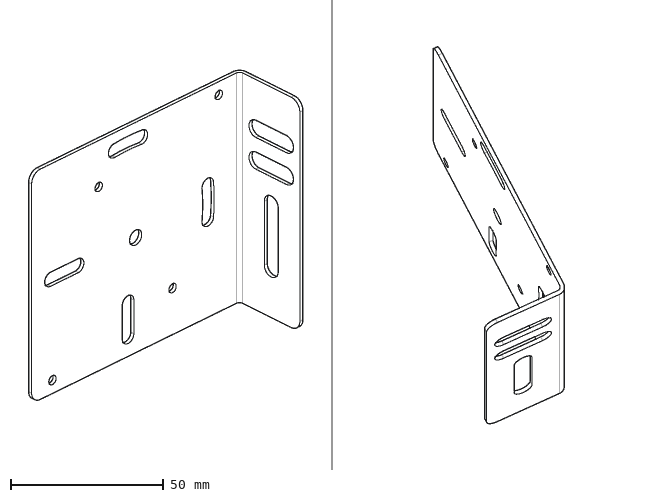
import cadquery as cq
import math

height = 87.0
plate_length = 97.5
flange_width = 29.5
thickness = 1.5
bend_inner_radius = thickness
bend_outer_radius = bend_inner_radius + thickness
corner_radius = 4.0

plate_free_edge_y = -48.1
flange_outer_y = plate_free_edge_y + plate_length
flange_inner_y = flange_outer_y - thickness

pivot_hole_diameter = 5.6
small_hole_diameter = 3.3
outer_hole_offset = 38.4
inner_hole_y = -17.1
inner_hole_z = 25.9

plate_slot_width = 5.3
plate_slot_length = 18.0
horizontal_slot_y = -33.0
vertical_slot_y = -3.5
vertical_slot_z = -29.5
arc_slot_radius = 66.6

flange_slot_width = 6.4
flange_slot_x = 16.2
short_slot_length = 20.7
short_slot_heights = (24.9, 12.9)
long_slot_length = 30.5
long_slot_z = -12.9


def bent_sheet():
    """L-shaped sheet with a constant thickness around the bend."""
    profile = (
        cq.Workplane("XY", origin=(0, 0, -height / 2))
        .moveTo(0, plate_free_edge_y)
        .lineTo(0, flange_outer_y - bend_outer_radius)
        .radiusArc((bend_outer_radius, flange_outer_y), bend_outer_radius)
        .lineTo(flange_width, flange_outer_y)
        .lineTo(flange_width, flange_inner_y)
        .lineTo(bend_outer_radius, flange_inner_y)
        .radiusArc((thickness, flange_outer_y - bend_outer_radius), -bend_inner_radius)
        .lineTo(thickness, plate_free_edge_y)
        .close()
    )
    sheet = profile.extrude(height)
    sheet = sheet.faces("<Y").edges("|X").fillet(corner_radius)
    return sheet.faces(">X").edges("|Y").fillet(corner_radius)


def plate_sketch():
    """Sketch plane on the plate: local axes are Y and Z."""
    return cq.Workplane("YZ")


def flange_sketch():
    """Sketch plane on the flange: local axes are X and Z, extruding toward -Y."""
    return cq.Workplane("XZ", origin=(0, flange_outer_y, 0))


def arc_slot(center_y, center_z, middle_angle):
    """Cutter for a round-ended slot curved about a point on the plate."""
    half_width = plate_slot_width / 2
    half_chord = plate_slot_length / 2 - half_width
    half_angle = math.degrees(math.asin(half_chord / arc_slot_radius))

    def point(radius, angle):
        radians = math.radians(middle_angle + angle)
        return (center_y + radius * math.cos(radians), center_z + radius * math.sin(radians))

    inner = arc_slot_radius - half_width
    outer = arc_slot_radius + half_width
    outline = (
        plate_sketch()
        .moveTo(*point(inner, -half_angle))
        .threePointArc(point(inner, 0), point(inner, half_angle))
        .tangentArcPoint(point(outer, half_angle), relative=False)
        .threePointArc(point(outer, 0), point(outer, -half_angle))
        .tangentArcPoint(point(inner, -half_angle), relative=False)
        .close()
    )
    return outline.extrude(thickness)


def cut_plate(part):
    """Pivot hole, small holes, straight slots and arc slots of the plate."""
    small_holes = [
        (sign * y, sign * z)
        for sign in (1, -1)
        for y, z in ((outer_hole_offset, outer_hole_offset), (inner_hole_y, inner_hole_z))
    ]
    part = part.cut(plate_sketch().circle(pivot_hole_diameter / 2).extrude(thickness))
    part = part.cut(
        plate_sketch().pushPoints(small_holes).circle(small_hole_diameter / 2).extrude(thickness)
    )
    straight_slots = ((horizontal_slot_y, 0, 0), (vertical_slot_y, vertical_slot_z, 90))
    for y, z, slot_angle in straight_slots:
        slot = plate_sketch().center(y, z).slot2D(plate_slot_length, plate_slot_width, slot_angle)
        part = part.cut(slot.extrude(thickness))
        part = part.cut(arc_slot(y, z, slot_angle))
    return part


def cut_flange(part):
    """Two short slots across the flange and one long slot along it."""
    slots = [(z, short_slot_length, 0) for z in short_slot_heights]
    slots.append((long_slot_z, long_slot_length, 90))
    for z, length, angle in slots:
        slot = flange_sketch().center(flange_slot_x, z).slot2D(length, flange_slot_width, angle)
        part = part.cut(slot.extrude(thickness))
    return part


result = cut_flange(cut_plate(bent_sheet()))